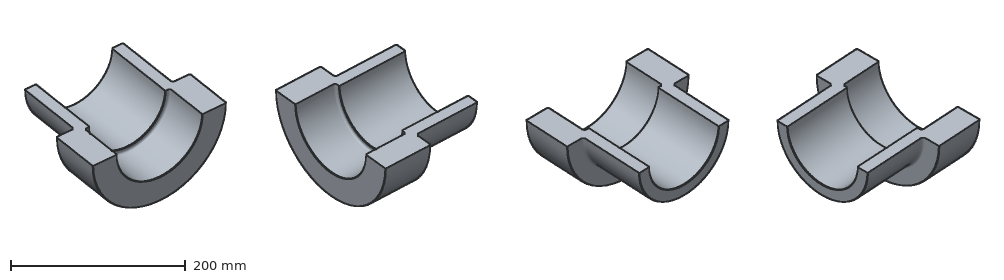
import cadquery as cq
import math

total_length = 160.66
flange_radius = 96.52
flange_length = 68.26
sleeve_radius = 71.12
bore_radius = 54.77
counterbore_radius = 61.6
counterbore_depth = 60.32
flange_fillet = 3.6
counterbore_fillet = 2.7
edge_chamfer = 0.76

flange_start = total_length - flange_length
counterbore_start = total_length - counterbore_depth

HALF_TURN = 180


def make_half_section():
    """Stepped half collar: wall section in the XY plane turned half a turn about X, below Z = 0."""
    wall_section = (
        cq.Workplane("XY")
        .moveTo(0, bore_radius)
        .lineTo(0, sleeve_radius)
        .lineTo(flange_start, sleeve_radius)
        .lineTo(flange_start, flange_radius)
        .lineTo(total_length, flange_radius)
        .lineTo(total_length, counterbore_radius)
        .lineTo(counterbore_start, counterbore_radius)
        .lineTo(counterbore_start, bore_radius)
        .close()
    )
    return wall_section.revolve(HALF_TURN, (0, 0, 0), (-1, 0, 0))


def arc_edge(body, station, radius):
    """Select the half-circle edge lying at one axial station and radius."""
    arc_centroid_depth = 2 * radius / math.pi
    arc_centroid = (station, 0, -arc_centroid_depth)
    return body.edges(cq.selectors.NearestToPointSelector(arc_centroid))


outside_corners = [
    (0, bore_radius),
    (0, sleeve_radius),
    (flange_start, flange_radius),
    (total_length, flange_radius),
    (total_length, counterbore_radius),
    (counterbore_start, bore_radius),
]

result = make_half_section()
result = arc_edge(result, flange_start, sleeve_radius).fillet(flange_fillet)
result = arc_edge(result, counterbore_start, counterbore_radius).fillet(counterbore_fillet)
for corner_station, corner_radius in outside_corners:
    result = arc_edge(result, corner_station, corner_radius).chamfer(edge_chamfer)